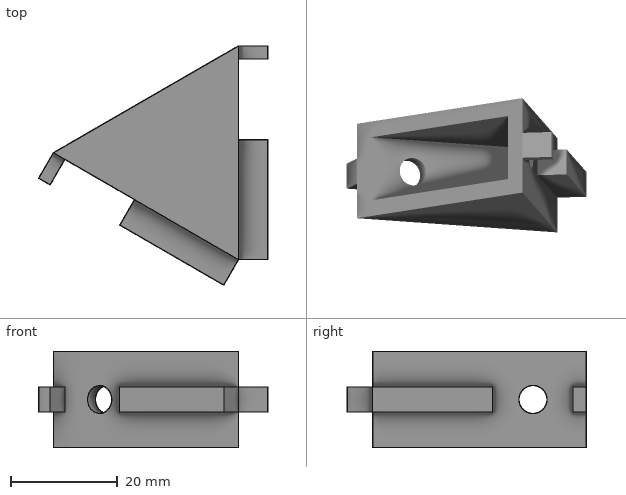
import cadquery as cq
import math

height = 18.0
tab_reach = 5.5
overall_length = 44.75
side = overall_length - tab_reach * math.cos(math.radians(30))
apex_depth = side * math.sin(math.radians(60))

wall = 3.0

tab_height = 4.75
long_tab = 22.45
short_tab = 2.5
hole_diameter = 5.2
hole_from_corner = side / 4

bisector_angle = 120


def triangle_prism(corner_x, corner_y, edge, thickness):
    """Equilateral prism with its lower right corner at the given point, centred on Z = 0."""
    depth = edge * math.sin(math.radians(60))
    return (
        cq.Workplane("XY", origin=(corner_x, corner_y, -thickness / 2))
        .polyline([(0, 0), (0, edge), (-depth, edge / 2)])
        .close()
        .extrude(thickness)
    )


def mirrored_to_other_side(shape):
    """Reflect a shape about the bisector, keeping its symmetric Z extent."""
    return (
        shape.rotate((0, 0, 0), (0, 0, 1), -bisector_angle)
        .mirror("XZ")
        .rotate((0, 0, 0), (0, 0, 1), bisector_angle)
    )


def tab(start, length):
    """Rectangular tab standing on the +X side."""
    return cq.Workplane("XY").box(tab_reach, length, tab_height, centered=(False, False, True)).translate(
        (0, start, 0)
    )


def wall_hole():
    """Cylinder along X through the +X wall and the cavity."""
    return (
        cq.Workplane("YZ", origin=(-apex_depth, side - hole_from_corner, 0))
        .circle(hole_diameter / 2)
        .extrude(2 * apex_depth)
    )


cavity_corner_y = wall / math.tan(math.radians(30))
cavity_side = side - wall / math.sin(math.radians(60)) * 2
cavity = triangle_prism(-wall, cavity_corner_y, cavity_side, height - 2 * wall)

result = triangle_prism(0, 0, side, height).cut(cavity)

side_tabs = [tab(0, long_tab), tab(side - short_tab, short_tab)]
for side_tab in side_tabs:
    result = result.union(side_tab).union(mirrored_to_other_side(side_tab))

hole = wall_hole()
result = result.cut(hole).cut(mirrored_to_other_side(hole))